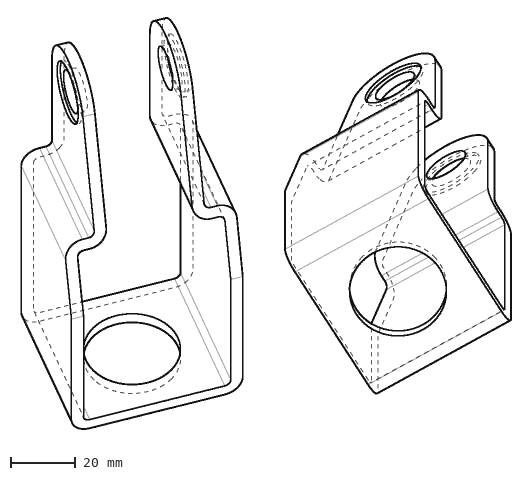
import cadquery as cq
import math

height = 132.0
depth_x = 48.0
body_width = 56.0

thickness = 4.0
outer_bend = 6.0
inner_bend = outer_bend - thickness
ear_width = 35.9
shoulder_z = 78.1

ear_radius = 15.0
ear_hole_diameter = 14.0
recess_diameter = 20.0
recess_depth = 1.0
slope_start_z = 51.5

base_hole_diameter = 30.0
base_hole_x = depth_x / 2

margin = 0.1

ear_x = ear_radius
ear_z = height - ear_radius


def box_between(y_half, z_low, z_high):
    """Box over the full X depth, centred on Y."""
    return cq.Workplane("XY").box(
        depth_x, 2 * y_half, z_high - z_low, centered=(False, True, False)
    ).translate((0, 0, z_low))


def channel_solid(body_half, ear_half, low_z, body_top_z, convex_radius, concave_radius):
    """Wide body with a narrower neck, with every bend along X rounded."""
    body = box_between(body_half, low_z, body_top_z).edges("|X").fillet(convex_radius)
    neck = box_between(ear_half, low_z + convex_radius, height)
    corner = cq.selectors.BoxSelector(
        (-margin, -ear_half - margin, body_top_z - margin),
        (depth_x + margin, ear_half + margin, body_top_z + margin),
    )
    return body.union(neck).edges("|X").edges(corner).fillet(concave_radius)


def bent_strip():
    """Strip of constant thickness: base, walls, shoulders and ears."""
    outside = channel_solid(
        body_width / 2, ear_width / 2, 0, shoulder_z, outer_bend, inner_bend
    )
    inside = channel_solid(
        body_width / 2 - thickness, ear_width / 2 - thickness,
        thickness, shoulder_z - thickness, inner_bend, outer_bend,
    )
    return outside.cut(inside)


def side_outline():
    """Side profile: round top, with a slope tangent to it."""
    run = depth_x - ear_x
    drop = ear_z - slope_start_z
    tangent_angle = math.acos(ear_radius / math.hypot(run, drop)) - math.atan2(drop, run)
    tangent_x = ear_x + ear_radius * math.cos(tangent_angle)
    tangent_z = ear_z + ear_radius * math.sin(tangent_angle)
    return (
        cq.Workplane("XZ")
        .moveTo(0, 0)
        .lineTo(depth_x, 0)
        .lineTo(depth_x, slope_start_z)
        .lineTo(tangent_x, tangent_z)
        .threePointArc((ear_x, height), (0, ear_z))
        .close()
        .extrude(body_width / 2, both=True)
    )


def ear_cylinder(diameter, y_start, y_end):
    """Cylinder along Y on the ear axis."""
    return cq.Workplane(
        cq.Solid.makeCylinder(
            diameter / 2, y_end - y_start,
            cq.Vector(ear_x, y_start, ear_z), cq.Vector(0, 1, 0),
        )
    )


result = bent_strip().intersect(side_outline())

ear_face = ear_width / 2
result = result.cut(ear_cylinder(ear_hole_diameter, -ear_face, ear_face))
result = result.cut(ear_cylinder(recess_diameter, -ear_face, -ear_face + recess_depth))
result = result.cut(ear_cylinder(recess_diameter, ear_face - recess_depth, ear_face))

base_hole = (
    cq.Workplane("XY").center(base_hole_x, 0).circle(base_hole_diameter / 2).extrude(thickness)
)
result = result.cut(base_hole)